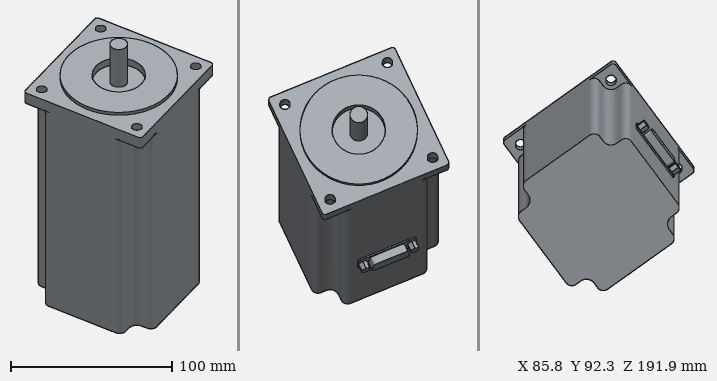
import cadquery as cq
import math

total_height = 191.9
shaft_length = 25.0
pilot_height = 2.3
flange_thickness = 8.5
pilot_top = total_height - shaft_length
flange_top = pilot_top - pilot_height
body_height = flange_top - flange_thickness

side = 85.8
half_side = side / 2
flange_corner_radius = 2.1
hole_spacing = 69.5
hole_diameter = 6.5

lip_radius = 4.5
hollow_radius = 6.0
groove_reach = 18.5

pilot_diameter = 73.0
recess_diameter = 33.0
recess_depth = 5.4
shaft_diameter = 11.0

connector_height = 61.2
connector_reach = 6.5
plate_length = 39.5
plate_height = 12.5
plate_thickness = 1.0
plate_corner_radius = 2.0
shell_bottom_width = 26.1
shell_height = 9.4
shell_slope = 10.0
shell_corner_radius = 2.0
standoff_spacing = 33.2
standoff_width = 5.5
standoff_reach = 6.0


def make_body():
    """Square column whose four corners carry a rounded groove."""
    body = cq.Workplane("XY").rect(side, side).extrude(body_height)

    lip_start = half_side - groove_reach
    lip_end = lip_start + lip_radius
    lip_depth = half_side - lip_radius
    lip_mid = lip_radius * math.sqrt(0.5)
    hollow_centre = lip_end + hollow_radius
    hollow_mid = hollow_centre - hollow_radius * math.sqrt(0.5)
    groove = (
        cq.Workplane("XY")
        .moveTo(lip_start, half_side)
        .threePointArc((lip_start + lip_mid, lip_depth + lip_mid), (lip_end, lip_depth))
        .lineTo(lip_end, hollow_centre)
        .threePointArc((hollow_mid, hollow_mid), (hollow_centre, lip_end))
        .lineTo(lip_depth, lip_end)
        .threePointArc((lip_depth + lip_mid, lip_start + lip_mid), (half_side, lip_start))
        .lineTo(half_side, half_side)
        .close()
        .extrude(body_height)
    )
    for quarter in range(4):
        body = body.cut(groove.rotate((0, 0, 0), (0, 0, 1), 90 * quarter))
    return body


def make_flange():
    """Mounting flange with rounded corners and four through holes."""
    return (
        cq.Workplane("XY", origin=(0, 0, body_height))
        .rect(side, side)
        .extrude(flange_thickness)
        .edges("|Z")
        .fillet(flange_corner_radius)
        .faces(">Z")
        .workplane()
        .rect(hole_spacing, hole_spacing, forConstruction=True)
        .vertices()
        .hole(hole_diameter)
    )


def disc(diameter, bottom, top):
    """Cylinder on the Z axis between two heights."""
    return cq.Workplane("XY", origin=(0, 0, bottom)).circle(diameter / 2).extrude(top - bottom)


def make_connector():
    """Plate, D-shaped shell and two hexagonal standoffs on the +Y face."""
    face = cq.Workplane(
        cq.Plane(origin=(0, half_side, connector_height), xDir=(-1, 0, 0), normal=(0, 1, 0))
    )
    plate = (
        face.rect(plate_length, plate_height)
        .extrude(plate_thickness)
        .edges("|Y")
        .fillet(plate_corner_radius)
    )

    bottom_half = shell_bottom_width / 2
    top_half = bottom_half - shell_height * math.tan(math.radians(shell_slope))
    half_height = shell_height / 2
    shell = (
        face.polyline([
            (-bottom_half, -half_height),
            (bottom_half, -half_height),
            (top_half, half_height),
            (-top_half, half_height),
        ])
        .close()
        .extrude(connector_reach)
        .edges("|Y")
        .fillet(shell_corner_radius)
    )

    standoff_corner_diameter = standoff_width / math.cos(math.radians(30))
    connector = plate.union(shell)
    for place in (-standoff_spacing / 2, standoff_spacing / 2):
        standoff = (
            face.transformed(offset=(place, 0, 0), rotate=(0, 0, 90))
            .polygon(6, standoff_corner_diameter)
            .extrude(standoff_reach)
        )
        connector = connector.union(standoff)
    return connector


recess_floor = pilot_top - recess_depth
result = (
    make_body()
    .union(make_flange())
    .union(disc(pilot_diameter, flange_top, pilot_top))
    .cut(disc(recess_diameter, recess_floor, pilot_top))
    .union(disc(shaft_diameter, recess_floor, total_height))
    .union(make_connector())
)